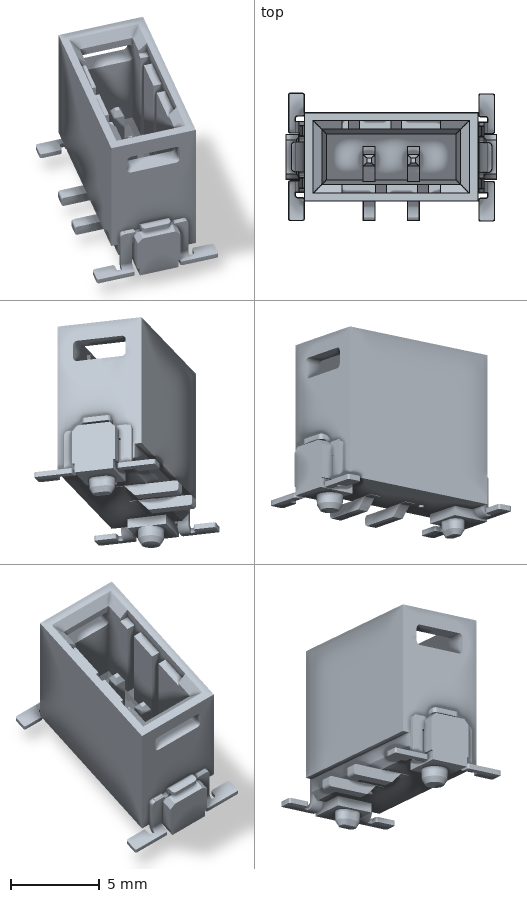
import cadquery as cq


body_x = 9.8
body_y = 5
body_bottom = 0.55
body_top = 9.28
step_z = 1.73
step_depth = 0.4

floor_z = 2.38
cavity_x = 7.83
cavity_y = 3.12
mouth_chamfer = 0.49
floor_chamfer = 0.26
key_recess_x = 5.57
key_recess_depth = 0.71
key_groove_x = 0.61
back_groove_centers = (-2.1, 0.29)
front_groove_centers = (-0.58, 1.8)

window_bottom = 7.08
window_top = 8.3
window_radius = 0.24

overall_x = 11.9
ear_inner_x = 5.22
ear_y = 2.55
ear_top = 2.81
ear_chamfer = 0.31
ear_back_chamfer = 0.13
foot_y = 2.28
foot_inner_x = 3.65
neck_top = 2.05

peg_x = 4.4
peg_diameter = 1.5
oval_peg_width = 1.01
peg_bottom = -0.87
peg_chamfer_length = 0.31
peg_chamfer_inset = 0.21
peg_collar = 0.08
peg_taper = 0.02

contact_pitch = 2.5
contact_width = 0.67
pin_y = -0.2
pin_depth = 0.64
pin_top = 6.19
pin_tip_height = 0.36
pin_tip_width = 0.26
shoulder_back_y = 0.57
shoulder_front_y = -1.38
shoulder_top = floor_z + 0.18
lead_end_y = -3.59
lead_top = 0.52
lead_bottom = -0.1
lead_heel_y = -1.01
lead_round = 0.15

clip_thickness = 0.3
clip_bend_inner = 0.2
clip_bend_outer = clip_bend_inner + clip_thickness
clip_y = 4.0
clip_leg_inner_y = 1.35
clip_top = 2.82
clip_corner_radius = 0.24
ridge_y = 1.48
ridge_length = 0.6
ridge_crest_length = 0.54
ridge_crest_width = 0.07
ridge_height = 0.08
clip_bottom = 0.05
tab_y = 1.69
tab_bend_z = 2.85
tab_reach = 0.74
tab_corner_radius = 0.23
relief_width = 0.31
relief_depth = 0.14
relief_radius = 0.11
pad_reach = 0.89
pad_end_y = 3.59
pad_notch_y = 2.3
pad_radius = 0.12
clip_play = 0.04
clip_drop = 0.08

mark_x = -2.13
mark_diameter = 0.29
mark_height = 0.12


def box(x_range, y_range, z_range):
    """Axis-aligned box between pairs of limits."""
    size = [high - low for low, high in (x_range, y_range, z_range)]
    corner = (x_range[0], y_range[0], z_range[0])
    return cq.Workplane("XY").box(*size, centered=False).translate(corner)


def centered_box(x, y, z_range):
    """Box centred on the Z axis."""
    return box((-x / 2, x / 2), (-y / 2, y / 2), z_range)


def flared_box(x, y, z_bottom, z_top, growth):
    """Frustum whose four sides lean outwards by growth towards the top."""
    return (
        cq.Workplane("XY", origin=(0, 0, z_bottom))
        .rect(x, y)
        .workplane(offset=z_top - z_bottom)
        .rect(x + 2 * growth, y + 2 * growth)
        .loft(ruled=True)
    )


def make_cavity():
    """Flared cavity with a key recess and key grooves in its long walls."""
    floor_top = floor_z + floor_chamfer
    cavity = centered_box(cavity_x, cavity_y, (floor_top, body_top))
    floor_x = cavity_x - 2 * floor_chamfer
    floor_y = cavity_y - 2 * floor_chamfer
    cavity = cavity.union(flared_box(floor_x, floor_y, floor_z, floor_top, floor_chamfer))
    cavity = cavity.union(flared_box(cavity_x, cavity_y, body_top - mouth_chamfer, body_top, mouth_chamfer))
    recess_y = cavity_y + 2 * mouth_chamfer
    cavity = cavity.union(centered_box(key_recess_x, recess_y, (body_top - key_recess_depth, body_top)))
    for side, centers in ((1, back_groove_centers), (-1, front_groove_centers)):
        for x in centers:
            groove = centered_box(key_groove_x, recess_y / 2, (floor_top, body_top))
            cavity = cavity.union(groove.translate((x, side * recess_y / 4, 0)))
    return cavity


def make_window():
    """Rounded opening through both end walls."""
    window = centered_box(overall_x, cavity_y, (window_bottom, window_top))
    return window.edges("|X").fillet(window_radius)


def make_housing():
    front = -body_y / 2
    step_y = front + step_depth
    profile = [
        (-front, body_bottom),
        (-front, body_top),
        (front, body_top),
        (front, step_z),
        (step_y, step_z),
        (step_y, body_bottom + step_depth),
        (step_y + step_depth, body_bottom),
    ]
    body = cq.Workplane("YZ").polyline(profile).close().extrude(body_x / 2, both=True)
    return body.cut(make_cavity()).cut(make_window())


def make_ear():
    """Foot, neck and ear that hold the solder clip at the +X end."""
    outer_x = overall_x / 2
    ear = box((ear_inner_x, outer_x), (-ear_y / 2, ear_y / 2), (body_bottom, ear_top))
    ear = ear.edges("|X and >Z").chamfer(ear_chamfer)
    ear = ear.faces("<X").edges(">Z").chamfer(ear_back_chamfer)
    foot = box((foot_inner_x, outer_x), (-foot_y / 2, foot_y / 2), (0, body_bottom))
    neck = box((body_x / 2, ear_inner_x), (-foot_y / 2, foot_y / 2), (0, neck_top))
    return ear.union(foot).union(neck)


def make_peg(x, width):
    """Tapered peg with a chamfered end; round, or oval along Y when width is below the diameter."""

    def outline(workplane, inset):
        if width < peg_diameter:
            return workplane.slot2D(peg_diameter - 2 * inset, width - 2 * inset, 90)
        return workplane.circle(width / 2 - inset)

    def section(top_z, bottom_z, top_inset, bottom_inset):
        lower = outline(cq.Workplane("XY", origin=(x, 0, bottom_z)), bottom_inset)
        return outline(lower.workplane(offset=top_z - bottom_z), top_inset).loft(ruled=True)

    chamfer_z = peg_bottom + peg_chamfer_length
    collar = outline(cq.Workplane("XY", origin=(x, 0, -peg_collar)), 0).extrude(peg_collar)
    shank = section(-peg_collar, chamfer_z, 0, peg_taper)
    end = section(chamfer_z, peg_bottom, peg_taper, peg_chamfer_inset)
    return collar.union(shank).union(end)


def make_contact(x):
    """L-shaped contact with a pointed pin and a lead running out towards -Y."""
    half_width = contact_width / 2
    x_range = (-half_width, half_width)
    pin_y_range = (pin_y - pin_depth / 2, pin_y + pin_depth / 2)
    tip_base = pin_top - pin_tip_height
    pin = box(x_range, pin_y_range, (lead_top, tip_base))
    tip = (
        cq.Workplane("XY", origin=(0, pin_y, tip_base))
        .rect(contact_width, pin_depth)
        .workplane(offset=pin_tip_height)
        .rect(pin_tip_width, pin_tip_width)
        .loft(ruled=True)
    )
    shoulder = box(x_range, (shoulder_front_y, shoulder_back_y), (body_bottom, shoulder_top))
    lead_height = lead_top - lead_bottom
    heel_back_y = lead_heel_y + lead_height
    lead_profile = [
        (lead_end_y, lead_bottom),
        (lead_heel_y, lead_bottom),
        (heel_back_y, lead_top),
        (heel_back_y, shoulder_top),
        (shoulder_front_y, shoulder_top),
        (shoulder_front_y, lead_top),
        (lead_end_y, lead_top),
    ]
    lead = cq.Workplane("YZ").polyline(lead_profile).close().extrude(half_width, both=True)
    lead = lead.faces("<Y").edges("|X").fillet(lead_round)
    return pin.union(tip).union(shoulder).union(lead).translate((x, 0, 0))


def make_bend(start_z, turn, y_range):
    """Quarter bend of sheet from the clip plate out towards +X, rising (turn 1) or falling (turn -1)."""
    bend = (
        cq.Workplane("XZ", origin=(clip_bend_outer, y_range[1], start_z))
        .circle(clip_bend_outer)
        .circle(clip_bend_inner)
        .extrude(y_range[1] - y_range[0])
    )
    z_range = sorted((start_z, start_z + turn * clip_bend_outer))
    return bend.intersect(box((0, clip_bend_outer), y_range, z_range))


def make_clip_pad():
    """Solder pad and bend below the +Y leg of the clip."""
    leg_range = (clip_leg_inner_y, clip_y / 2)
    outline = [
        (clip_bend_outer, clip_leg_inner_y),
        (pad_reach, clip_leg_inner_y),
        (pad_reach, pad_end_y),
        (0, pad_end_y),
        (0, pad_notch_y),
        (clip_bend_outer, pad_notch_y),
    ]
    pad = cq.Workplane("XY", origin=(0, 0, clip_bottom)).polyline(outline).close().extrude(clip_thickness)
    pad = pad.edges("|Z and (>X or >Y)").fillet(pad_radius)
    for notch_x in (0, clip_bend_outer):
        corner = cq.selectors.NearestToPointSelector((notch_x, pad_notch_y, clip_bottom + clip_thickness / 2))
        pad = pad.edges("|Z").edges(corner).fillet(pad_radius)
    return pad.union(make_bend(clip_bottom + clip_bend_outer, -1, leg_range))


def make_clip():
    """U-shaped solder clip for the +X end, with its inner face on X = 0."""
    bend_z = clip_bottom + clip_bend_outer
    plate = box((0, clip_thickness), (-clip_y / 2, clip_y / 2), (bend_z, clip_top))
    plate = plate.edges("|X and >Z").fillet(clip_corner_radius)
    opening = box((0, clip_thickness), (-clip_leg_inner_y, clip_leg_inner_y), (bend_z, neck_top))
    plate = plate.cut(opening)
    for side in (1, -1):
        relief_y = side * (tab_y + relief_width) / 2
        relief = centered_box(2 * clip_thickness, relief_width, (clip_top - relief_depth, clip_top))
        relief = relief.edges("|X and <Z").fillet(relief_radius)
        plate = plate.cut(relief.translate((0, relief_y, 0)))
        ridge = (
            cq.Workplane("XY", origin=(clip_thickness / 2, side * ridge_y, clip_top))
            .rect(clip_thickness, ridge_length)
            .workplane(offset=ridge_height)
            .rect(ridge_crest_width, ridge_crest_length)
            .loft(ruled=True)
        )
        plate = plate.union(ridge)
    tab_range = (-tab_y / 2, tab_y / 2)
    plate = plate.union(box((0, clip_thickness), tab_range, (clip_top, tab_bend_z)))
    tab_top = tab_bend_z + clip_bend_outer
    tab = box((clip_bend_outer, tab_reach), tab_range, (tab_top - clip_thickness, tab_top))
    tab = tab.edges("|Z and >X").fillet(tab_corner_radius)
    pad = make_clip_pad()
    clip = plate.union(make_bend(tab_bend_z, 1, tab_range)).union(tab)
    return clip.union(pad).union(pad.mirror("XZ"))


ear = make_ear()
clip = make_clip()
result = make_housing().union(ear).union(ear.mirror("YZ"))
result = result.union(make_peg(-peg_x, oval_peg_width)).union(make_peg(peg_x, peg_diameter))
for contact_side in (-1, 1):
    result = result.union(make_contact(contact_side * contact_pitch / 2))
result = result.union(clip.translate((body_x / 2, 0, 0)).mirror("YZ"))
result = result.union(clip.translate((body_x / 2 + clip_play, -clip_play, -clip_drop)))
mark = cq.Workplane("XY", origin=(mark_x, 0, body_bottom)).circle(mark_diameter / 2).extrude(-mark_height)
result = result.union(mark)